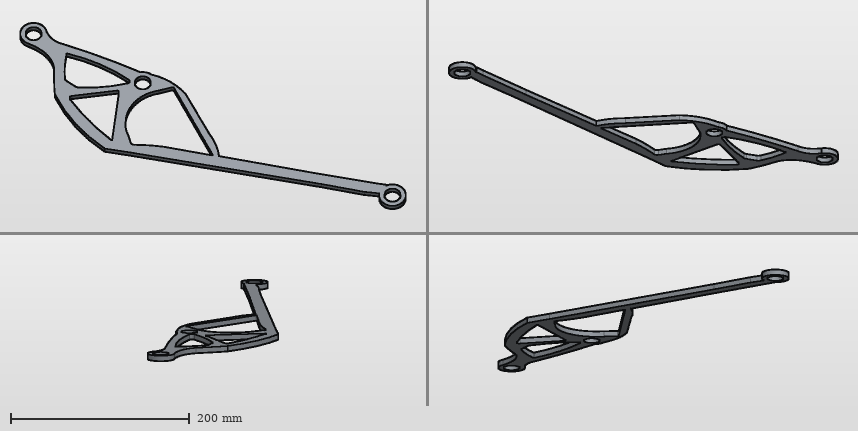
import cadquery as cq

thickness = 6.3
hole_diameter = 18.0
eye_radius = 15.0
hub_x = 140.0
right_eye_x = 460.0
hole_centres = [(0, 0), (hub_x, 0), (right_eye_x, 0)]

tip_radius = 0.8
small_radius = 2.0
medium_radius = 3.0
broad_radius = 4.0
wide_radius = 6.0

neck_top = (9.8, 11.4)
neck_valley = (29.5, 2.8)
top_rail_start = (36.0, 3.6)
top_rail_middle = (85.0, 9.1)
top_rail_end = (131.0, 11.6)
hub_top = (142.0, 14.6)
hump_crest = (162.0, 16.53)
strut_start = (190.0, 9.5)
strut_end = (239.5, -25.5)
strut_toe_middle = (253.5, -35.3)
strut_toe = (264.4, -47.2)
arm_top_bend = (371.4, -14.9)
arm_top_knee = (437.0, 5.8)
arm_top_end = (447.0, 9.3)
arm_throat = (445.0, -5.5)
arm_bottom_end = (430.0, -11.5)
arm_bottom_bend = (383.0, -25.4)
arm_bottom_start = (175.0, -91.4)
keel = (147.6, -100.58)
belly_middle = (103.0, -86.9)
belly_start = (62.4, -62.3)
flank_middle = (51.3, -45.0)
flank_start = (43.0, -29.9)
neck_bottom_bend = (31.5, -20.2)
neck_bottom_flat = (14.0, -15.1)
neck_bottom = (0.0, -eye_radius)


def extrude(profile):
    return profile.close().extrude(thickness)


def eye(centre):
    return cq.Workplane("XY").center(*centre).circle(eye_radius).extrude(thickness)


def make_body():
    profile = (
        cq.Workplane("XY")
        .moveTo(0, 0)
        .lineTo(*neck_top)
        .threePointArc(neck_valley, top_rail_start)
        .threePointArc(top_rail_middle, top_rail_end)
        .lineTo(*hub_top)
        .threePointArc(hump_crest, strut_start)
        .lineTo(*strut_end)
        .threePointArc(strut_toe_middle, strut_toe)
        .lineTo(*arm_top_bend)
        .lineTo(*arm_top_knee)
        .lineTo(*arm_top_end)
        .lineTo(right_eye_x, 0)
        .lineTo(*arm_throat)
        .lineTo(*arm_bottom_end)
        .lineTo(*arm_bottom_bend)
        .lineTo(*arm_bottom_start)
        .lineTo(*keel)
        .threePointArc(belly_middle, belly_start)
        .threePointArc(flank_middle, flank_start)
        .spline([neck_bottom_bend, neck_bottom_flat, neck_bottom], includeCurrent=True)
    )
    body = extrude(profile)
    for centre in hole_centres:
        body = body.union(eye(centre))
    return body


def round_corners(window, corners):
    """Round the upright edge at each (x, y) corner to its radius."""
    for corner, radius in corners:
        nearest = cq.selectors.NearestToPointSelector((*corner, thickness / 2))
        window = window.edges("|Z").edges(nearest).fillet(radius)
    return window


def upper_left_window():
    left = (45.7, -5.9)
    right = (129.5, -4.9)
    bottom_right = (79.0, -41.5)
    bottom_left = (62.7, -39.1)
    ceiling_middle = (88.0, -0.9)
    brace_middle = (105.7, -25.6)
    flank_side_middle = (53.0, -23.4)
    profile = (
        cq.Workplane("XY")
        .moveTo(*left)
        .threePointArc(ceiling_middle, right)
        .threePointArc(brace_middle, bottom_right)
        .lineTo(*bottom_left)
        .threePointArc(flank_side_middle, left)
    )
    corners = [
        (left, tip_radius),
        (right, medium_radius),
        (bottom_right, wide_radius),
        (bottom_left, wide_radius),
    ]
    return round_corners(extrude(profile), corners)


def lower_left_window():
    top = (122.0, -22.0)
    left = (76.1, -57.4)
    right = (149.0, -86.9)
    floor_middle = (110.0, -74.1)
    profile = (
        cq.Workplane("XY")
        .moveTo(*top)
        .lineTo(*left)
        .threePointArc(floor_middle, right)
    )
    corners = [(top, small_radius), (left, medium_radius), (right, tip_radius)]
    return round_corners(extrude(profile), corners)


def right_window():
    top = (172.7, 11.7)
    right = (257.9, -49.8)
    bottom = (170.9, -81.4)
    arm_bend = (204.4, -65.9)
    back_top = (161.0, -0.5)
    arm_flare_middle = (187.0, -73.0)
    back_middle = (144.5, -35.0)
    back_bottom = (162.2, -72.2)
    profile = (
        cq.Workplane("XY")
        .moveTo(*top)
        .lineTo(*right)
        .lineTo(*arm_bend)
        .threePointArc(arm_flare_middle, bottom)
        .lineTo(*back_bottom)
        .threePointArc(back_middle, back_top)
    )
    corners = [(top, small_radius), (right, tip_radius), (bottom, broad_radius)]
    return round_corners(extrude(profile), corners)


def make_holes():
    return cq.Workplane("XY").pushPoints(hole_centres).circle(hole_diameter / 2).extrude(thickness)


result = make_body()
for cutter in (upper_left_window(), lower_left_window(), right_window(), make_holes()):
    result = result.cut(cutter)